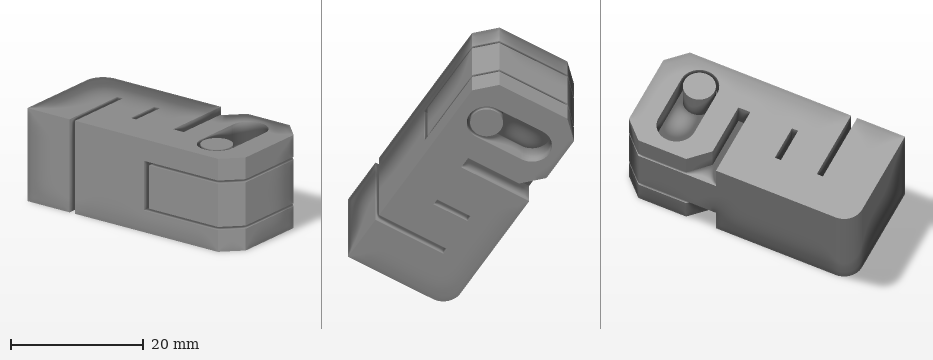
import cadquery as cq

length = 39.0
width = 18.0
height = 15.0
mid_height = height / 2

layer = width / 3
clearance = 1.0
leg_length = 8.0
tooth_length = 6.0
corner_radius = 3.0

fork_hook_start = leg_length + clearance
fork_tooth_end = fork_hook_start + tooth_length
tongue_tooth_start = fork_tooth_end + clearance

tongue_start = 23.0
tongue_thickness = 7.0
fork_gap = 8.0
fork_root = tongue_start - clearance
head_start = 25.0
end_chamfer = 3.0

pin_diameter = 5.0
slot_width = 6.0
pin_x = 32.0
pin_y = 5.0
slot_far_y = width - pin_y


def make_tongue_hook():
    """Hook with a full-height leg and tooth, a thinner tongue and a cross pin."""
    hook = (
        cq.Workplane("XY")
        .moveTo(0, 0)
        .lineTo(leg_length, 0)
        .lineTo(leg_length, 2 * layer)
        .lineTo(tongue_tooth_start, 2 * layer)
        .lineTo(tongue_tooth_start, layer)
        .lineTo(tongue_start, layer)
        .lineTo(tongue_start, width)
        .lineTo(0, width)
        .close()
        .extrude(height)
        .edges("|Z and <X and >Y")
        .fillet(corner_radius)
    )
    tongue = (
        cq.Workplane("XY", origin=(0, 0, mid_height - tongue_thickness / 2))
        .rect(length - tongue_start, width, centered=False)
        .extrude(tongue_thickness)
        .translate((tongue_start, 0, 0))
        .edges("|Z and >X")
        .chamfer(end_chamfer)
    )
    pin = cq.Workplane("XY").center(pin_x, pin_y).circle(pin_diameter / 2).extrude(height)
    return hook.union(tongue).union(pin)


def make_fork_hook():
    """Mating hook whose head is forked around the tongue and slotted for the pin."""
    hook = (
        cq.Workplane("XY")
        .moveTo(fork_hook_start, 0)
        .lineTo(length - end_chamfer, 0)
        .lineTo(length, end_chamfer)
        .lineTo(length, width - end_chamfer)
        .lineTo(length - end_chamfer, width)
        .lineTo(head_start + end_chamfer, width)
        .lineTo(head_start, width - end_chamfer)
        .lineTo(head_start, layer)
        .lineTo(fork_tooth_end, layer)
        .lineTo(fork_tooth_end, 2 * layer)
        .lineTo(fork_hook_start, 2 * layer)
        .close()
        .extrude(height)
    )
    gap = (
        cq.Workplane("XY", origin=(fork_root, 0, mid_height - fork_gap / 2))
        .rect(length - fork_root, width, centered=False)
        .extrude(fork_gap)
    )
    slot = (
        cq.Workplane("XY")
        .center(pin_x, (pin_y + slot_far_y) / 2)
        .slot2D(slot_far_y - pin_y + slot_width, slot_width, 90)
        .extrude(height)
    )
    return hook.cut(gap).cut(slot)


tongue_hook = make_tongue_hook()
fork_hook = make_fork_hook()

result = cq.Compound.makeCompound([tongue_hook.solids().val(), fork_hook.solids().val()])